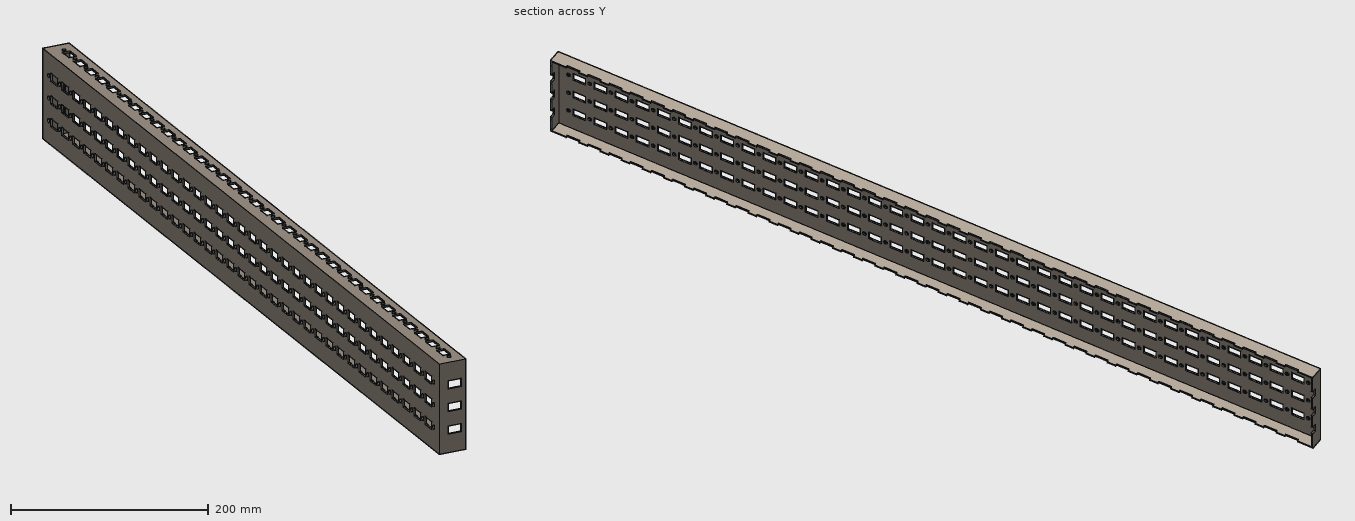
import cadquery as cq

length = 902.0
sheet = 2.0
slots_per_row = 35
face_row_count = 3
end_margin = 1.0
face_margin = 5.0
slot_end_to_hole_centre = 5.05
slot_width = 8.8
hole_diameter = 4.2

pitch = (length - 2 * end_margin) / (slots_per_row + 1)
slot_length = pitch - 2 * slot_end_to_hole_centre

height = (face_row_count + 1) * pitch

depth = pitch + face_margin
wall_row_y = depth / 2 - pitch / 2


def centred_positions(count):
    """Evenly pitched positions that are symmetric about zero."""
    return [(index - (count - 1) / 2) * pitch for index in range(count)]


slot_columns = centred_positions(slots_per_row)
hole_columns = centred_positions(slots_per_row + 1)
row_heights = centred_positions(face_row_count)


def make_tray():
    """Shallow sheet tray with its face on the -Y side and its open side toward +Y."""
    outer = cq.Workplane("XY").box(length, depth, height)
    cavity = (
        cq.Workplane("XY")
        .box(length - 2 * sheet, depth, height - 2 * sheet)
        .translate((0, sheet, 0))
    )
    return outer.cut(cavity)


def make_slots(plane, centres, reach):
    """Cutters for rectangular slots, reaching equally far to both sides of the plane."""
    return (
        cq.Workplane(plane)
        .pushPoints(centres)
        .rect(slot_length, slot_width)
        .extrude(reach, both=True)
    )


def make_holes(plane, centres, reach):
    """Cutters for round holes, reaching equally far to both sides of the plane."""
    return (
        cq.Workplane(plane)
        .pushPoints(centres)
        .circle(hole_diameter / 2)
        .extrude(reach, both=True)
    )


def cut_row(body, plane, row_offset, reach):
    """Cut one row along X: slots with a round hole between neighbours and at both ends."""
    slot_centres = [(x, row_offset) for x in slot_columns]
    hole_centres = [(x, row_offset) for x in hole_columns]
    slotted = body.cut(make_slots(plane, slot_centres, reach))
    return slotted.cut(make_holes(plane, hole_centres, reach))


result = make_tray()

for row_height in row_heights:
    result = cut_row(result, "XZ", row_height, depth)

result = cut_row(result, "XY", wall_row_y, height)

end_slot_centres = [(wall_row_y, z) for z in row_heights]
result = result.cut(make_slots("YZ", end_slot_centres, length))